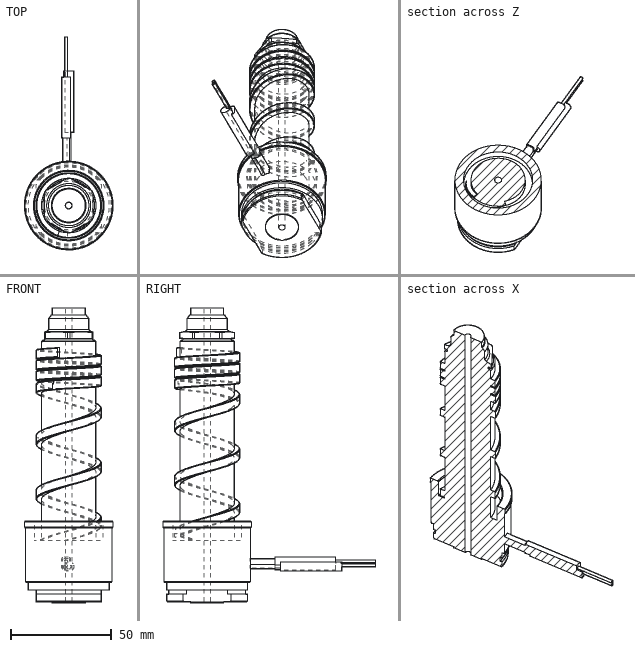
import cadquery as cq
import math

TOTAL_HEIGHT = 146.3
HOLE_RADIUS = 1.6

CAP_RADIUS = 8.2
CAP_BASE_Z = 142.8
SHOULDER_RADIUS = 8.6
COLLAR_RADIUS = 10.0
COLLAR_TOP_Z = 140.9
COLLAR_BASE_Z = 135.5
COLLAR_FLARE = 0.9
HEX_CREST_Z = COLLAR_BASE_Z - COLLAR_FLARE
HEX_TOP_Z = 134.0
HEX_BASE_Z = 131.1
HEX_ACROSS_FLATS = 24.2
HEX_CORNER_RADIUS = 13.6

TUBE_RADIUS = 13.5
TUBE_NECK_RADIUS = 12.0
TUBE_TOP_Z = 130.3
TUBE_CHAMFER = 0.7

FLANGE_RADIUS = 22.0
FLANGE_TOP_Z = 40.6
FLANGE_BASE_Z = 37.2
CUP_RADIUS = 21.5
CUP_BASE_Z = 10.3
CUP_BORE_RADIUS = 17.0
CUP_FLOOR_Z = 31.0
CUP_BORE_CHAMFER = 0.5
RIM_CHAMFER = 0.4

FOOT_RADIUS = 20.1
FOOT_BASE_Z = 0.6
FOOT_CHAMFER = 0.5
GROOVE_RADIUS = 19.1
GROOVE_TOP_Z = 6.5
GROOVE_BASE_Z = 4.4
FLAT_OFFSET = 16.2
PAD_RADIUS = 8.2

COIL_RADIUS = 16.2
COIL_OVERLAP = 0.2
COIL_HEIGHT = 4.85
COIL_EDGE_CHAMFER = 0.4
CLOSED_PITCH = 5.3
OPEN_PITCH = 27.0
SEAM_ANGLE = 240.0
SEAM_Z = 105.7
CLOSED_SWEEP = 1090.0
RAMP_SWEEP = 140.0
OPEN_TURNS = 2.8
RAMP_POINTS = 16

HEATER_X = -1.3
HEATER_Z = 19.7
HEATER_LEAD_SIZE = (3.4, 4.6)
HEATER_LEAD_ROUND = 0.35
HEATER_SLEEVE_SIZE = (4.35, 6.35)
HEATER_SLEEVE_ROUND = 1.17
HEATER_SLEEVE_START_Y = 33.5
HEATER_SLEEVE_END_Y = 63.6
WIRE_DIAMETER = 1.5
WIRE_GAP = 0.4
CABLE_END_Y = 83.5

SENSOR_X = 0.05
SENSOR_Z = 18.1
SENSOR_LEAD_RADIUS = 1.1
SENSOR_SLEEVE_SIZE = (5.1, 4.4)
SENSOR_SLEEVE_START_Y = 36.3
SENSOR_SLEEVE_END_Y = 66.7

LEAD_START_Y = (CUP_BORE_RADIUS + CUP_RADIUS) / 2


def revolve_profile(points):
    """Revolve (radius, z) points, closed along the axis, about Z."""
    return cq.Workplane("XZ").polyline(points).close().revolve(360, (0, 0, 0), (0, 1, 0))


def make_head():
    """Cap, shoulder cone and collar, flaring out onto the hexagon."""
    return revolve_profile([
        (0, HEX_BASE_Z),
        (COLLAR_RADIUS + COLLAR_FLARE, HEX_BASE_Z),
        (COLLAR_RADIUS + COLLAR_FLARE, HEX_CREST_Z),
        (COLLAR_RADIUS, COLLAR_BASE_Z),
        (COLLAR_RADIUS, COLLAR_TOP_Z),
        (SHOULDER_RADIUS, CAP_BASE_Z),
        (CAP_RADIUS, CAP_BASE_Z),
        (CAP_RADIUS, TOTAL_HEIGHT),
        (0, TOTAL_HEIGHT),
    ])


def make_hexagon():
    """Hexagon with flats facing +X and -X, its corners turned down and its top slightly conical."""
    hexagon = (
        cq.Workplane("XY", origin=(0, 0, HEX_BASE_Z))
        .polygon(6, HEX_ACROSS_FLATS / math.cos(math.pi / 6))
        .extrude(HEX_CREST_Z - HEX_BASE_Z)
        .rotate((0, 0, 0), (0, 0, 1), 30)
    )
    envelope = revolve_profile([
        (0, HEX_BASE_Z),
        (HEX_CORNER_RADIUS, HEX_BASE_Z),
        (HEX_CORNER_RADIUS, HEX_TOP_Z),
        (COLLAR_RADIUS + COLLAR_FLARE, HEX_CREST_Z),
        (0, HEX_CREST_Z),
    ])
    return hexagon.intersect(envelope)


def make_tube():
    """Long tube with a chamfered top and a narrow neck under the hexagon."""
    return revolve_profile([
        (0, CUP_BASE_Z),
        (TUBE_RADIUS, CUP_BASE_Z),
        (TUBE_RADIUS, TUBE_TOP_Z - TUBE_CHAMFER),
        (TUBE_RADIUS - TUBE_CHAMFER, TUBE_TOP_Z),
        (TUBE_NECK_RADIUS, TUBE_TOP_Z),
        (TUBE_NECK_RADIUS, HEX_BASE_Z),
        (0, HEX_BASE_Z),
    ])


def make_cup():
    """Flanged cup with a chamfered, flat-floored bore around the tube, standing on the foot."""
    return revolve_profile([
        (0, CUP_BASE_Z),
        (CUP_RADIUS - RIM_CHAMFER, CUP_BASE_Z),
        (CUP_RADIUS, CUP_BASE_Z + RIM_CHAMFER),
        (CUP_RADIUS, FLANGE_BASE_Z),
        (FLANGE_RADIUS - RIM_CHAMFER, FLANGE_BASE_Z),
        (FLANGE_RADIUS, FLANGE_BASE_Z + RIM_CHAMFER),
        (FLANGE_RADIUS, FLANGE_TOP_Z - RIM_CHAMFER),
        (FLANGE_RADIUS - RIM_CHAMFER, FLANGE_TOP_Z),
        (CUP_BORE_RADIUS + CUP_BORE_CHAMFER, FLANGE_TOP_Z),
        (CUP_BORE_RADIUS, FLANGE_TOP_Z - CUP_BORE_CHAMFER),
        (CUP_BORE_RADIUS, CUP_FLOOR_Z),
        (0, CUP_FLOOR_Z),
    ])


def make_foot():
    """Grooved foot with two wrench flats and a shallow pad underneath."""
    foot = revolve_profile([
        (0, FOOT_BASE_Z),
        (FOOT_RADIUS - FOOT_CHAMFER, FOOT_BASE_Z),
        (FOOT_RADIUS, FOOT_BASE_Z + FOOT_CHAMFER),
        (FOOT_RADIUS, GROOVE_BASE_Z),
        (GROOVE_RADIUS, GROOVE_BASE_Z),
        (GROOVE_RADIUS, GROOVE_TOP_Z),
        (FOOT_RADIUS, GROOVE_TOP_Z),
        (FOOT_RADIUS, CUP_BASE_Z),
        (0, CUP_BASE_Z),
    ])
    cutter_width = FOOT_RADIUS - FLAT_OFFSET
    for side in (-1, 1):
        cutter = cq.Workplane("XY").box(
            cutter_width, 2 * FOOT_RADIUS, GROOVE_TOP_Z, centered=(True, True, False)
        )
        foot = foot.cut(cutter.translate((side * (FLAT_OFFSET + cutter_width / 2), 0, 0)))
    pad = cq.Workplane("XY").circle(PAD_RADIUS).extrude(FOOT_BASE_Z)
    return foot.union(pad)


def sweep_coil(path, angle, base_z):
    """Sweep the strip section along a path that starts at the given angle and level."""
    inner = TUBE_RADIUS - COIL_OVERLAP
    chamfer = COIL_EDGE_CHAMFER
    radial = cq.Vector(math.cos(math.radians(angle)), math.sin(math.radians(angle)), 0)
    plane = cq.Plane(origin=(0, 0, base_z), xDir=radial, normal=radial.cross(cq.Vector(0, 0, 1)))
    section = cq.Workplane(plane).polyline([
        (inner, 0),
        (COIL_RADIUS - chamfer, 0),
        (COIL_RADIUS, chamfer),
        (COIL_RADIUS, COIL_HEIGHT - chamfer),
        (COIL_RADIUS - chamfer, COIL_HEIGHT),
        (inner, COIL_HEIGHT),
    ]).close()
    return section.sweep(cq.Workplane(path), isFrenet=True)


def make_helix_turns(pitch, sweep, angle, base_z):
    """Strip of constant pitch rising counterclockwise from the given angle and level."""
    path = cq.Wire.makeHelix(pitch, pitch * sweep / 360, COIL_RADIUS)
    path = path.rotate(cq.Vector(0, 0, 0), cq.Vector(0, 0, 1), angle)
    return sweep_coil(path.translate(cq.Vector(0, 0, base_z)), angle, base_z)


def make_coil():
    """Open turns at the bottom, closed turns at the top, joined by a steadily changing pitch."""
    ramp_start = SEAM_ANGLE - RAMP_SWEEP
    ramp_turns = RAMP_SWEEP / 360
    ramp_base_z = SEAM_Z - (OPEN_PITCH + CLOSED_PITCH) / 2 * ramp_turns

    def ramp_point(step):
        turns = ramp_turns * step / RAMP_POINTS
        pitch_drop = (OPEN_PITCH - CLOSED_PITCH) * turns / ramp_turns
        rise = (OPEN_PITCH - pitch_drop / 2) * turns
        angle = math.radians(ramp_start) + 2 * math.pi * turns
        return cq.Vector(
            COIL_RADIUS * math.cos(angle), COIL_RADIUS * math.sin(angle), ramp_base_z + rise
        )

    ramp_edge = cq.Edge.makeSpline([ramp_point(step) for step in range(RAMP_POINTS + 1)])
    ramp_path = cq.Wire.assembleEdges([ramp_edge])
    open_sweep = OPEN_TURNS * 360
    open_base_z = ramp_base_z - OPEN_PITCH * OPEN_TURNS
    return [
        make_helix_turns(OPEN_PITCH, open_sweep, ramp_start - open_sweep, open_base_z),
        sweep_coil(ramp_path, ramp_start, ramp_base_z),
        make_helix_turns(CLOSED_PITCH, CLOSED_SWEEP, SEAM_ANGLE, SEAM_Z),
    ]


def plane_across_y(x, y, z):
    """Workplane facing +Y whose local axes are -X and +Z."""
    return cq.Workplane(cq.Plane(origin=(x, y, z), xDir=(-1, 0, 0), normal=(0, 1, 0)))


def make_heater_cable():
    """Rounded rectangular lead and sleeve with two wires, one above the other."""
    lead = (
        plane_across_y(HEATER_X, LEAD_START_Y, HEATER_Z)
        .rect(*HEATER_LEAD_SIZE)
        .extrude(HEATER_SLEEVE_START_Y - LEAD_START_Y)
        .edges("|Y").fillet(HEATER_LEAD_ROUND)
    )
    sleeve = (
        plane_across_y(HEATER_X, HEATER_SLEEVE_START_Y, HEATER_Z)
        .rect(*HEATER_SLEEVE_SIZE)
        .extrude(HEATER_SLEEVE_END_Y - HEATER_SLEEVE_START_Y)
        .edges("|Y").fillet(HEATER_SLEEVE_ROUND)
    )
    cable = lead.union(sleeve)
    wire_offset = (WIRE_DIAMETER + WIRE_GAP) / 2
    for side in (-1, 1):
        wire = (
            plane_across_y(HEATER_X, HEATER_SLEEVE_START_Y, HEATER_Z + side * wire_offset)
            .circle(WIRE_DIAMETER / 2)
            .extrude(CABLE_END_Y - HEATER_SLEEVE_START_Y)
        )
        cable = cable.union(wire)
    return cable


def make_sensor_cable():
    """Round lead ending in an obround sleeve that lies against the heater sleeve."""
    lead = (
        plane_across_y(SENSOR_X, LEAD_START_Y, SENSOR_Z)
        .circle(SENSOR_LEAD_RADIUS)
        .extrude(SENSOR_SLEEVE_END_Y - LEAD_START_Y)
    )
    sleeve = (
        plane_across_y(SENSOR_X, SENSOR_SLEEVE_START_Y, SENSOR_Z)
        .slot2D(*SENSOR_SLEEVE_SIZE)
        .extrude(SENSOR_SLEEVE_END_Y - SENSOR_SLEEVE_START_Y)
    )
    return lead.union(sleeve)


body = make_foot().union(make_tube()).union(make_cup()).union(make_hexagon()).union(make_head())
for coil_section in make_coil():
    body = body.union(coil_section)
body = body.union(make_heater_cable()).union(make_sensor_cable())
through_hole = cq.Workplane("XY").circle(HOLE_RADIUS).extrude(TOTAL_HEIGHT)
result = body.cut(through_hole)